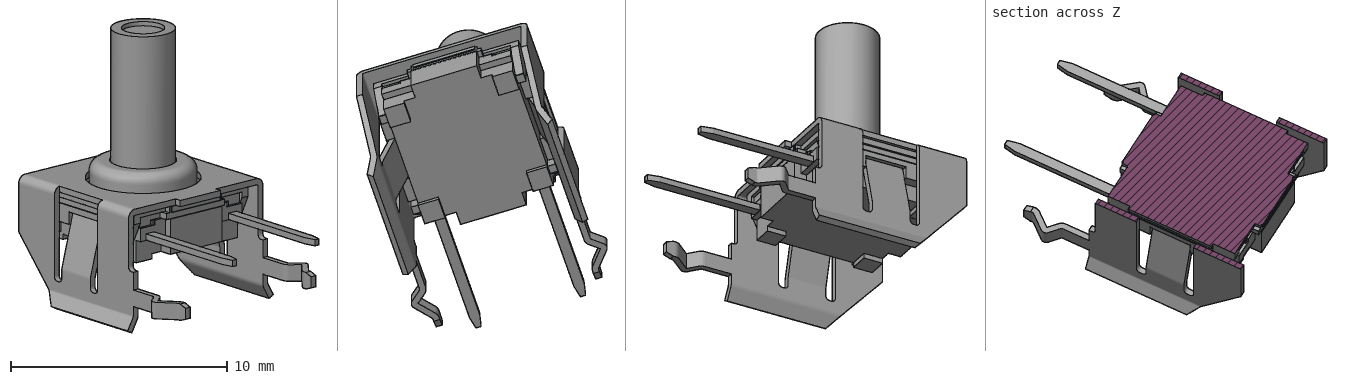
import cadquery as cq
import math


sheet = 0.3
cover_left = -4.0
cover_right = 3.67
wall_right = 4.0
wall_outer_y = 4.15
wall_inner_y = wall_outer_y - sheet
top_bend_radius = 0.4
inner_bend_radius = 0.1
wall_step_z = -2.9
wall_step_radius = 0.2
cover_tab_half_width = 1.25
cover_hole_diameter = 5.35

bottom_z = -5.8
flare_tip_y = 4.5
flare_angle = math.radians(30)
flare_bend_radius = 0.15
slope_start_z = -2.7
slope_end_x = -1.2

window_half_width = 1.5
window_bottom_z = -4.5
window_corner_radius = 0.2
finger_half_width = 1.0
finger_top_z = -1.2
finger_bend_z = -3.87
finger_angle = math.radians(15)
finger_bend_radius = 0.2

terminal_end_x = 7.5
terminal_top_z = -3.75
terminal_bottom_z = -4.55
terminal_kink_x = 5.43
terminal_peak_y = 4.75
terminal_tip_y = 4.03
terminal_rise_angle = math.radians(50)
terminal_fall_angle = math.radians(40)
terminal_peak_radius = 0.25
terminal_kink_radius = 0.1
terminal_tip_bend_radius = 0.15
terminal_taper_x = 7.14
terminal_tip_inset = 0.13

pin_y = 2.54
pin_width = 0.5
pin_tip_width = 0.25
pin_top_z = -1.45
pin_thickness = 0.3
pin_taper_x = 8.65
pin_end_x = 9.25

stem_diameter = 3.0
stem_top_z = 7.2
dimple_diameter = 2.0
dimple_depth = 0.2
collar_diameter = 5.0
collar_top_z = 0.85
collar_fillet = 0.5
collar_bore_diameter = 3.1

layer_1_top = -sheet
layer_2_top = -0.6
layer_3_top = -0.9
tier_bottom_z = -1.77
base_bottom_z = -2.6
foot_bottom_z = -2.85
body_half_y = 3.13
base_half_x = 3.05
tier_half_x = 3.35
upper_half_x = 3.2
block_half_x = 3.7
block_half_y = 1.6
foot_inner_x = 2.06
foot_inner_y = 2.14
tier_shoulder_y = 2.22
tier_step_half_x = 3.28
tier_step_y = 2.37
tier_shoulder_z = -1.13
rim_half_y = 3.52
rim_tab_half_y = 1.5
rim_bridge_half_y = 1.8
rim_bridge_half_x = 3.65
side_pad_half_x = 2.2
side_pad_1_y = 3.7
side_pad_2_y = 3.6
side_pad_3_y = 3.65
side_pad_bottom_z = -1.8
finger_notch_half_width = 1.06
lug_top_z = -0.87
lug_lip_z = -2.43
lug_bottom_z = -2.48
lug_inner_x = 2.6


def block(x_range, y_range, z_range):
    """Box spanning the given ranges."""
    size = [high - low for low, high in (x_range, y_range, z_range)]
    return cq.Workplane("XY").box(*size, centered=False).translate((x_range[0], y_range[0], z_range[0]))


def layer(half_x, half_y, top, bottom):
    """Box centred on the plunger axis."""
    return block((-half_x, half_x), (-half_y, half_y), (bottom, top))


def both_sides(solid):
    """The solid together with its mirror image across the XZ plane."""
    return solid.union(solid.mirror("XZ"))


def offset_right(path, distance):
    """Open path moved to the right of its travel direction, with mitred corners."""
    headings = [math.atan2(b[1] - a[1], b[0] - a[0]) for a, b in zip(path, path[1:])]
    before = headings[:1] + headings
    after = headings + headings[-1:]
    moved = []
    for (u, v), first, second in zip(path, before, after):
        middle = (first + second) / 2
        reach = distance / math.cos((second - first) / 2)
        moved.append((u + reach * math.sin(middle), v - reach * math.cos(middle)))
    return moved


def strip_outline(outer):
    """Closed outline of a sheet whose outer face follows the given path."""
    return outer + offset_right(outer, sheet)[::-1]


def round_bends(solid, bends):
    """Fillet the edges whose midpoints are given, each with its own radius."""
    for midpoint, radius in bends:
        solid = solid.edges(cq.NearestToPointSelector(midpoint)).fillet(radius)
    return solid


def make_cover_half():
    """Half of the roof with its side wall and flared lip, for +Y."""
    flare_tip_z = bottom_z + sheet * math.sin(flare_angle)
    flare_bend_z = flare_tip_z + (flare_tip_y - wall_outer_y) / math.tan(flare_angle)
    outer = [(0, 0), (wall_outer_y, 0), (wall_outer_y, flare_bend_z), (flare_tip_y, flare_tip_z)]
    inner = offset_right(outer, sheet)
    half = (
        cq.Workplane("YZ", origin=(cover_left, 0, 0))
        .polyline(strip_outline(outer))
        .close()
        .extrude(wall_right - cover_left)
    )
    middle_x = (cover_left + wall_right) / 2
    bends = [
        (outer[1], top_bend_radius),
        (inner[1], inner_bend_radius),
        (outer[2], flare_bend_radius),
        (inner[2], flare_bend_radius + sheet),
    ]
    return round_bends(half, [((middle_x, y, z), radius) for (y, z), radius in bends])


def make_cover_profile():
    """Prism with the side outline of the cover, used to trim the bent sheet."""
    depth = 2 * flare_tip_y
    profile = (
        cq.Workplane("XZ")
        .moveTo(cover_left, 0)
        .lineTo(cover_right, 0)
        .lineTo(cover_right, wall_step_z + wall_step_radius)
        .radiusArc((cover_right + wall_step_radius, wall_step_z), -wall_step_radius)
        .lineTo(wall_right, wall_step_z)
        .lineTo(wall_right, bottom_z)
        .lineTo(slope_end_x, bottom_z)
        .lineTo(cover_left, slope_start_z)
        .close()
        .extrude(depth, both=True)
    )
    roof_tab = block((cover_left, wall_right), (-cover_tab_half_width, cover_tab_half_width), (-sheet, 0))
    return profile.union(roof_tab)


def make_window():
    """Wall opening for +Y: a wide slot, the gap the finger fills and a slit along each of its sides."""
    y_range = (wall_inner_y, wall_outer_y)
    window_x = (-window_half_width, window_half_width)
    window = block(window_x, y_range, (finger_bend_z, 0))
    inner_bend = block(window_x, (wall_inner_y - inner_bend_radius, wall_outer_y), (finger_bend_z, -sheet))
    window = window.union(inner_bend)
    finger_x = (-finger_half_width, finger_half_width)
    window = window.union(block(finger_x, y_range, (window_bottom_z, finger_bend_z)))
    slit_width = window_half_width - finger_half_width
    for left in (-window_half_width, finger_half_width):
        slit = block((left, left + slit_width), y_range, (window_bottom_z, finger_bend_z))
        slit = slit.faces("<Z").edges("|Y").fillet(window_corner_radius)
        window = window.union(slit)
    return window


def make_finger():
    """Spring finger for +Y, leaning inward above its bend."""
    lean = (finger_top_z - finger_bend_z) * math.tan(finger_angle)
    outer = [
        (wall_outer_y - lean, finger_top_z),
        (wall_outer_y, finger_bend_z),
        (wall_outer_y, window_bottom_z),
    ]
    inner = offset_right(outer, sheet)
    finger = (
        cq.Workplane("YZ", origin=(-finger_half_width, 0, 0))
        .polyline(strip_outline(outer))
        .close()
        .extrude(2 * finger_half_width)
    )
    bends = [(outer[1], finger_bend_radius + sheet), (inner[1], finger_bend_radius)]
    finger = round_bends(finger, [((0, y, z), radius) for (y, z), radius in bends])
    flat_top = block((-wall_right, wall_right), (0, wall_outer_y), (bottom_z, finger_top_z))
    return finger.intersect(flat_top)


def make_terminal():
    """Kinked terminal for +Y, running out of the wall along +X."""
    half_corner = (math.pi - terminal_rise_angle - terminal_fall_angle) / 2
    tilt = (terminal_rise_angle - terminal_fall_angle) / 2
    corner_to_centre = terminal_peak_radius / math.sin(half_corner)
    corner_y = terminal_peak_y - terminal_peak_radius + corner_to_centre * math.cos(tilt)
    corner_x = terminal_kink_x + (corner_y - wall_outer_y) / math.tan(terminal_rise_angle)
    fall_end_x = corner_x + (corner_y - terminal_tip_y) / math.tan(terminal_fall_angle)
    outer = [
        (wall_right - sheet, wall_outer_y),
        (terminal_kink_x, wall_outer_y),
        (corner_x, corner_y),
        (fall_end_x, terminal_tip_y),
        (terminal_end_x, terminal_tip_y),
    ]
    height = terminal_top_z - terminal_bottom_z
    middle_z = (terminal_top_z + terminal_bottom_z) / 2
    terminal = (
        cq.Workplane("XY", origin=(0, 0, terminal_bottom_z))
        .polyline(strip_outline(outer))
        .close()
        .extrude(height)
    )
    inner = offset_right(outer, sheet)
    bends = [
        (outer[1], terminal_kink_radius),
        (inner[1], terminal_kink_radius + sheet),
        (outer[2], terminal_peak_radius),
        (outer[3], terminal_tip_bend_radius),
        (inner[3], terminal_tip_bend_radius + sheet),
    ]
    terminal = round_bends(terminal, [((x, y, middle_z), radius) for (x, y), radius in bends])
    side_outline = (
        cq.Workplane("XZ")
        .polyline([
            (cover_right, terminal_bottom_z),
            (terminal_taper_x, terminal_bottom_z),
            (terminal_end_x, terminal_bottom_z + terminal_tip_inset),
            (terminal_end_x, terminal_top_z - terminal_tip_inset),
            (terminal_taper_x, terminal_top_z),
            (cover_right, terminal_top_z),
        ])
        .close()
        .extrude(-2 * terminal_peak_y)
    )
    return terminal.intersect(side_outline)


def make_cover():
    cover = both_sides(make_cover_half()).intersect(make_cover_profile())
    cover = cover.cut(both_sides(make_window()))
    cover = cover.union(both_sides(make_finger())).union(both_sides(make_terminal()))
    hole = cq.Workplane("XY").circle(cover_hole_diameter / 2).extrude(-sheet)
    return cover.cut(hole)


def make_pin():
    """Straight pin for +Y with a tapered tip."""
    half = pin_width / 2
    tip_half = pin_tip_width / 2
    return (
        cq.Workplane("XY", origin=(0, pin_y, pin_top_z))
        .polyline([
            (0, -half),
            (pin_taper_x, -half),
            (pin_end_x, -tip_half),
            (pin_end_x, tip_half),
            (pin_taper_x, half),
            (0, half),
        ])
        .close()
        .extrude(-pin_thickness)
    )


def make_lugs():
    """Side lug for -X and +Y; its end face slopes inward and ends in a short upright lip."""
    return (
        cq.Workplane("XZ", origin=(0, rim_half_y, 0))
        .polyline([
            (-tier_half_x, layer_2_top),
            (-tier_half_x, lug_top_z),
            (-lug_inner_x, lug_lip_z),
            (-lug_inner_x, lug_bottom_z),
            (-side_pad_half_x, lug_bottom_z),
            (-side_pad_half_x, layer_2_top),
        ])
        .close()
        .extrude(rim_half_y - body_half_y)
    )


def make_body():
    body = layer(base_half_x, body_half_y, layer_1_top, base_bottom_z)
    body = body.union(layer(upper_half_x, body_half_y, layer_2_top, tier_shoulder_z))
    body = body.union(layer(tier_half_x, tier_shoulder_y, layer_3_top, tier_shoulder_z))
    body = body.union(layer(tier_step_half_x, tier_step_y, layer_3_top, tier_shoulder_z))
    body = body.union(layer(tier_half_x, body_half_y, tier_shoulder_z, tier_bottom_z))
    body = body.union(layer(block_half_x, block_half_y, layer_3_top, base_bottom_z))

    body = body.union(layer(tier_half_x, rim_half_y, layer_1_top, layer_2_top))
    body = body.union(layer(rim_bridge_half_x, block_half_y, layer_1_top, layer_2_top))
    body = body.union(layer(block_half_x, rim_tab_half_y, layer_1_top, layer_2_top))
    body = body.union(layer(rim_bridge_half_x, rim_bridge_half_y, layer_2_top, layer_3_top))

    body = body.union(layer(side_pad_half_x, side_pad_1_y, layer_1_top, layer_2_top))
    body = body.union(layer(side_pad_half_x, side_pad_2_y, layer_2_top, layer_3_top))
    body = body.union(layer(side_pad_half_x, side_pad_3_y, layer_3_top, side_pad_bottom_z))
    notch_x = (-finger_notch_half_width, finger_notch_half_width)
    notch = block(notch_x, (body_half_y, side_pad_3_y), (side_pad_bottom_z, finger_top_z))
    body = body.cut(both_sides(notch))

    lugs = make_lugs()
    lugs = lugs.union(lugs.mirror("YZ"))
    body = body.union(both_sides(lugs))
    foot = block((foot_inner_x, base_half_x), (foot_inner_y, body_half_y), (foot_bottom_z, base_bottom_z))
    feet = foot.union(foot.mirror("YZ"))
    return body.union(both_sides(feet))


def make_plunger():
    collar = (
        cq.Workplane("XY", origin=(0, 0, layer_1_top))
        .circle(collar_diameter / 2)
        .extrude(collar_top_z - layer_1_top)
        .faces(">Z")
        .edges()
        .fillet(collar_fillet)
        .faces(">Z")
        .workplane()
        .hole(collar_bore_diameter)
    )
    stem = (
        cq.Workplane("XY", origin=(0, 0, layer_1_top))
        .circle(stem_diameter / 2)
        .extrude(stem_top_z - layer_1_top)
        .faces(">Z")
        .workplane()
        .hole(dimple_diameter, dimple_depth)
    )
    return collar.union(stem)


result = make_body().union(make_cover()).union(both_sides(make_pin())).union(make_plunger())